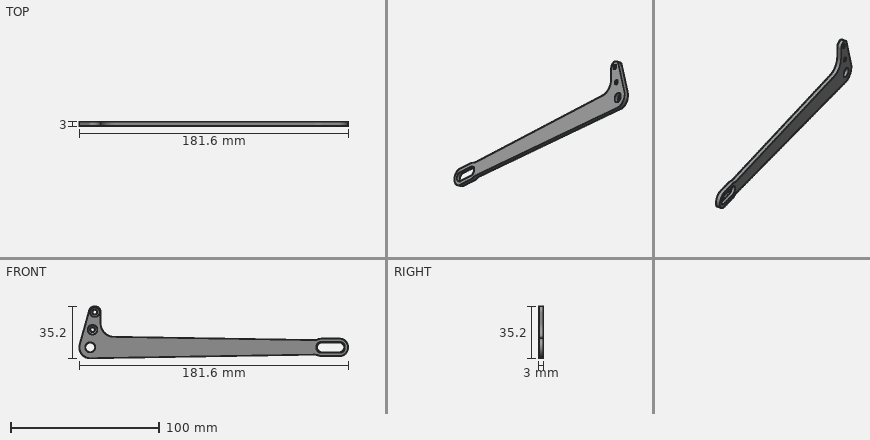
import cadquery as cq
import math

thickness = 3.0
overall_length = 181.6
overall_height = 35.2

heel_radius = 7.5
pivot_diameter = 6.5

tip_radius = 4.0
tip_x = 3.0
tip_z = overall_height - heel_radius - tip_radius
screw_diameter = 3.0
countersink_diameter = 6.5
countersink_angle = 90
inner_corner_radius = 8.9

eye_radius = 6.0
eye_end_x = overall_length - heel_radius - eye_radius
eye_start_x = 156.4
bar_end_radius = 4.9
neck_radius = 7.3
slot_width = 6.5
slot_chamfer = 0.5
chamfer_angle = 45


def plate():
    """Mid-thickness sketch plane whose local axes are X and Z."""
    return cq.Workplane("XZ")


def disc(x, z, radius):
    return plate().center(x, z).circle(radius).extrude(thickness / 2, both=True)


def polygon(points):
    return plate().polyline(points).close().extrude(thickness / 2, both=True)


def tangent_points(start, start_radius, end, end_radius, side):
    """Ends of the outer tangent of two circles; side is +1 for left of travel, -1 for right."""
    dx = end[0] - start[0]
    dz = end[1] - start[1]
    lean = math.acos((start_radius - end_radius) / math.hypot(dx, dz))
    angle = math.atan2(dz, dx) + side * lean
    direction = (math.cos(angle), math.sin(angle))
    return [
        (centre[0] + radius * direction[0], centre[1] + radius * direction[1])
        for centre, radius in ((start, start_radius), (end, end_radius))
    ]


def tapered_bar():
    ends = ((0, 0), heel_radius, (eye_start_x, 0), bar_end_radius)
    upper = tangent_points(*ends, 1)
    lower = tangent_points(*ends, -1)
    return polygon(upper + lower[::-1])


def upright_arm():
    left_edge = tangent_points((0, 0), heel_radius, (tip_x, tip_z), tip_radius, 1)
    right_x = tip_x + tip_radius
    arm = polygon([(0, 0)] + left_edge + [(tip_x, tip_z), (right_x, tip_z), (right_x, 0)])
    return arm.union(disc(tip_x, tip_z, tip_radius))


def slotted_eye():
    middle_x = (eye_start_x + eye_end_x) / 2
    length = eye_end_x - eye_start_x + 2 * eye_radius
    return plate().center(middle_x, 0).slot2D(length, 2 * eye_radius).extrude(thickness / 2, both=True)


def edges_near(body, x_min, x_max, z_min, z_max):
    """Edges across the thickness whose position lies inside the given X-Z window."""
    window = cq.selectors.BoxSelector((x_min, -thickness, z_min), (x_max, thickness, z_max))
    return body.edges("|Y").edges(window)


def blended_outline():
    body = disc(0, 0, heel_radius).union(tapered_bar()).union(upright_arm()).union(slotted_eye())
    body = body.clean()
    corner_x = tip_x + tip_radius
    tolerance = 0.2
    inner_corner = edges_near(body, corner_x - tolerance, corner_x + tolerance, bar_end_radius, heel_radius)
    body = inner_corner.fillet(inner_corner_radius)
    neck_start_x = eye_start_x - eye_radius
    neck_corners = edges_near(body, neck_start_x, eye_start_x - tolerance, -eye_radius, eye_radius)
    return neck_corners.fillet(neck_radius)


def front_face(body, x=0):
    """Continue the body on its front face, with local axes X and Z and the origin at x."""
    return body.copyWorkplane(cq.Workplane("XZ", origin=(x, -thickness / 2, 0)))


def cut_holes(body):
    body = front_face(body).circle(pivot_diameter / 2).cutThruAll()
    screw_places = [(tip_x / 2, tip_z / 2), (tip_x, tip_z)]
    places = front_face(body).pushPoints(screw_places)
    return places.cskHole(screw_diameter, countersink_diameter, countersink_angle)


def slot_cutter():
    """Through slot whose front rim is widened by a chamfer."""
    middle_x = (eye_start_x + eye_end_x) / 2
    length = eye_end_x - eye_start_x + slot_width
    rim_length = length + 2 * slot_chamfer
    rim_width = slot_width + 2 * slot_chamfer
    through = plate().center(middle_x, 0).slot2D(length, slot_width).extrude(thickness, both=True)
    rim_face = front_face(cq.Workplane(), middle_x)
    rim = rim_face.slot2D(rim_length, rim_width).extrude(-slot_chamfer, taper=chamfer_angle)
    return through.union(rim)


result = cut_holes(blended_outline()).cut(slot_cutter())